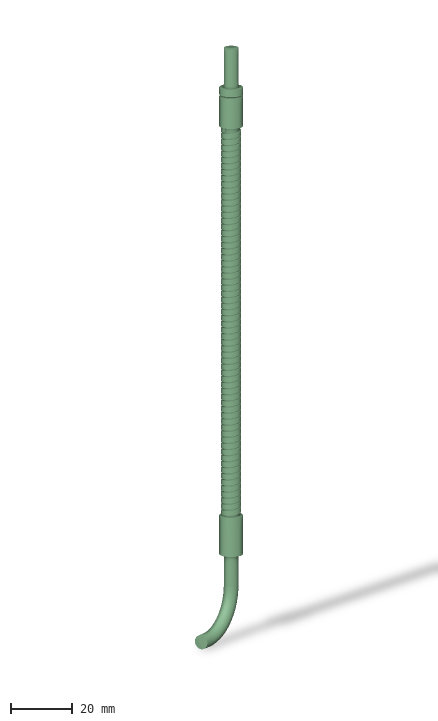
import cadquery as cq

total_height = 197.0
total_depth = 21.9

tube_diameter = 4.7
bend_radius = 15.0

collar_diameter = 7.7
lower_collar_bottom = 27.8
lower_collar_length = 13.0
upper_collar_length = 10.0
ring_gap = 0.5
ring_length = 2.4

hose_length = 130.0
rib_diameter = 6.5
rib_height = 0.55
rib_width = 1.5
rib_turns = 64
rib_start_angle = 180

tube_radius = tube_diameter / 2
tail_reach = total_depth - collar_diameter / 2
tail_axis_height = tube_radius
rib_pitch = hose_length / rib_turns
sleeve_radius = rib_diameter / 2 - rib_height
rib_root_radius = (tube_radius + sleeve_radius) / 2

hose_bottom = lower_collar_bottom + lower_collar_length
upper_collar_bottom = hose_bottom + hose_length
ring_bottom = upper_collar_bottom + upper_collar_length + ring_gap


def make_tube():
    """Solid rod from the top straight down, through a quarter bend, to a short tail."""
    axis = (
        cq.Workplane("YZ")
        .moveTo(0, total_height)
        .lineTo(0, tail_axis_height + bend_radius)
        .radiusArc((-bend_radius, tail_axis_height), bend_radius)
        .lineTo(-tail_reach, tail_axis_height)
    )
    return cq.Workplane("XY", origin=(0, 0, total_height)).circle(tube_radius).sweep(axis)


def make_sleeve(bottom, length, outer_radius):
    """Plain cylinder bored to fit the tube."""
    return cq.Workplane("XY", origin=(0, 0, bottom)).circle(outer_radius).circle(tube_radius).extrude(length)


def make_collar(bottom, length):
    return make_sleeve(bottom, length, collar_diameter / 2)


def make_rib():
    """Right-handed rectangular helical rib that fills the height of the hose."""
    rib_depth = rib_diameter / 2 - rib_root_radius
    helix = cq.Wire.makeHelix(rib_pitch, hose_length - rib_width, rib_root_radius)
    section = cq.Workplane("XZ").center(rib_root_radius + rib_depth / 2, 0).rect(rib_depth, rib_width)
    rib = section.sweep(cq.Workplane(obj=helix), isFrenet=True)
    rib = rib.rotate((0, 0, 0), (0, 0, 1), rib_start_angle)
    return rib.translate((0, 0, hose_bottom + rib_width / 2))


def make_hose():
    sleeve = make_sleeve(hose_bottom, hose_length, sleeve_radius)
    return sleeve.union(make_rib(), clean=False)


tube = make_tube()
lower_collar = make_collar(lower_collar_bottom, lower_collar_length)
hose = make_hose()
upper_collar = make_collar(upper_collar_bottom, upper_collar_length)
ring = make_collar(ring_bottom, ring_length)

result = cq.Compound.makeCompound(
    [tube.val(), lower_collar.val(), *hose.solids().vals(), upper_collar.val(), ring.val()]
)